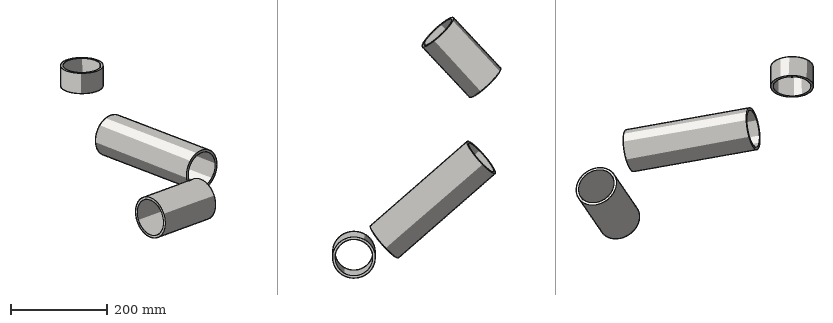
import cadquery as cq

outer_diameter = 89.0
wall = 5.5

riser_corner = 85.5
branch_corner = 114.0

overall_x = 559.0
overall_y = 304.5
overall_z = 175.5

outer_radius = outer_diameter / 2
inner_radius = outer_radius - wall
branch_axis_x = overall_x - outer_diameter
main_length = branch_axis_x - riser_corner - branch_corner
branch_length = overall_y - outer_radius - branch_corner
riser_length = overall_z - outer_radius - riser_corner


def pipe(start, direction, length):
    """Straight open pipe running from the start point along the direction."""
    end_plane = cq.Plane(origin=start, normal=direction)
    return cq.Workplane(end_plane).circle(outer_radius).circle(inner_radius).extrude(length)


riser = pipe((0, 0, riser_corner), (0, 0, 1), riser_length)

main_pipe = pipe((riser_corner, 0, 0), (1, 0, 0), main_length)

branch = pipe((branch_axis_x, -branch_corner, 0), (0, -1, 0), branch_length)

result = cq.Compound.makeCompound([riser.val(), main_pipe.val(), branch.val()])